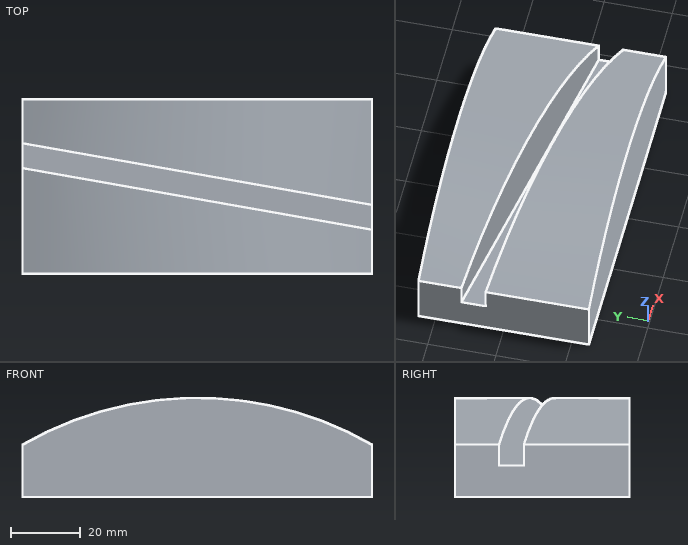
import cadquery as cq
import math

length = 100.0
width = 50.0
edge_height = 15.0
crown_radius = 100.0

slot_width = 7.0
slot_angle = -10.0
slot_floor_height = 9.0

half_length = length / 2
crown_rise = crown_radius - math.sqrt(crown_radius**2 - half_length**2)
crown_height = edge_height + crown_rise


def crowned_block():
    """Extrude the arched end profile symmetrically along Y."""
    return (
        cq.Workplane("XZ")
        .moveTo(-half_length, 0)
        .lineTo(half_length, 0)
        .lineTo(half_length, edge_height)
        .threePointArc((0, crown_height), (-half_length, edge_height))
        .close()
        .extrude(width / 2, both=True)
    )


def oblique_slot():
    """Flat-floored cutter, long enough to leave both ends of the block."""
    cutter_length = length + width
    cutter_height = crown_height
    return (
        cq.Workplane("XY")
        .box(cutter_length, slot_width, cutter_height, centered=(True, True, False))
        .rotate((0, 0, 0), (0, 0, 1), slot_angle)
        .translate((0, 0, slot_floor_height))
    )


result = crowned_block().cut(oblique_slot())